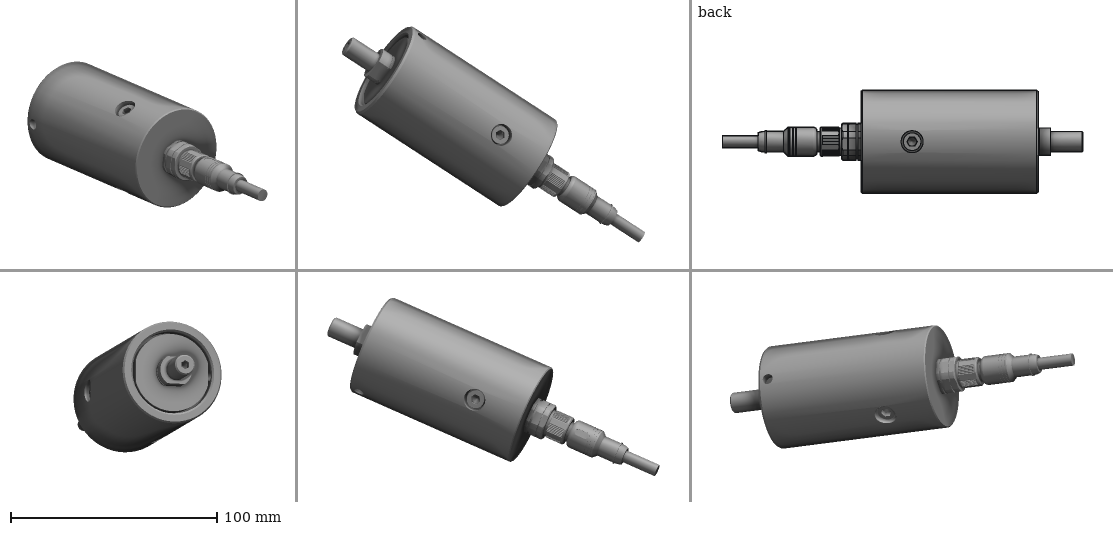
import cadquery as cq
import math


overall_length = 175.0
hexagon_sides = 6

housing_dia = 50.0
housing_length = 85.9
front_chamfer_length = 1.0
front_chamfer_height = 0.7
rear_chamfer = 0.5
bore_dia = 40.2
bore_depth = 7.0
bore_chamfer = 0.9

locating_dia = 5.0
locating_x = 5.0
locating_depth = 5.2

screw_count = 3
screw_x = 61.2
counterbore_dia = 10.7
counterbore_depth = 6.8
shank_dia = 5.0
shank_length = 8.7
head_dia = 8.5
head_recess = 2.1
screw_socket_flats = 4.4
screw_socket_depth = 2.8

disc_dia = 38.0
disc_flats = 36.2
disc_front_x = 1.2
collar_dia = 16.0
collar_flats = 13.3
collar_length = 6.0
undercut_dia = 15.4
undercut_width = 0.5
stud_dia = 10.0
stud_length = 15.7
stud_chamfer = 0.7
stud_socket_flats = 3.8
stud_socket_depth = 3.5

receptacle_turn = 22.5
plug_turn = 7.5

hex_flats = 17.0
hex_round_dia = 18.0
hex_end_x = 95.3
hex_chamfer = 0.5
gap_dia = 17.0
gap_start_x = 87.5
gap_end_x = 88.5
line_groove_dia = 16.6
line_groove_start_x = 92.0
line_groove_end_x = 92.5
receptacle_neck_dia = 13.5

ring_start_x = 96.4
ring_end_x = 105.8
ring_dia = 14.2
ring_flats = 13.8
ring_chamfer = 0.5
flute_dia = 0.7
flutes_per_side = 6
flute_pitch_angle = 6.0
flute_end_x = 104.6

plug_neck_dia = 10.0
plug_start_x = 107.4
plug_nose_dia = 12.0
plug_body_x = 109.2
plug_dia = 14.2
plug_end_x = 121.4
round_bulge = 0.5
rib_groove_dia = 13.8
rib_groove_width = 0.5
rib_groove_count = 3
rib_groove_start_x = 117.2
rib_groove_pitch = 1.5
boot_start_x = 123.5
boot_dia = 10.1
boot_rim_dia = 11.0
boot_rim_x = 131.9
boot_rim_width = 0.5
boot_end_x = 136.0
boot_end_dia = 8.7
cable_dia = 6.0
cable_end_x = overall_length - collar_length - stud_length

mark_start_x = 109.9
mark_end_x = 116.7
mark_width = 3.3
mark_corner = 0.9
mark_floor_radius = 6.6


def cylinder(dia, start_x, end_x):
    """Cylinder on the X axis."""
    return cq.Workplane("YZ", origin=(start_x, 0, 0)).circle(dia / 2).extrude(end_x - start_x)


def groove_ring(outer_dia, inner_dia, start_x, end_x):
    """Ring that cuts a groove down to inner_dia."""
    return cylinder(outer_dia, start_x, end_x).cut(cylinder(inner_dia, start_x, end_x))


def two_flats(flats, along_z, start_x, end_x):
    """Slab on the X axis with two parallel faces, square to Z or to Y."""
    wide = housing_dia
    size_y, size_z = (wide, flats) if along_z else (flats, wide)
    return cq.Workplane("YZ", origin=(start_x, 0, 0)).rect(size_y, size_z).extrude(end_x - start_x)


def hexagon_prism(flats, start_x, end_x):
    """Hexagonal prism on the X axis with corners towards +Y and -Y."""
    corner_dia = flats / math.cos(math.pi / hexagon_sides)
    face = cq.Workplane("YZ", origin=(start_x, 0, 0)).polygon(hexagon_sides, corner_dia)
    return face.extrude(end_x - start_x)


def hexagon_socket(flats, depth):
    """Socket cutter pointing along +X from the origin, with a drilled 90 degree cone at its end."""
    drill_r = flats / 2
    outline = [(0, 0), (depth + drill_r, 0), (depth, drill_r), (0, drill_r)]
    drilled = cq.Workplane("XY").polyline(outline).close().revolve(360, (0, 0, 0), (1, 0, 0))
    return hexagon_prism(flats, 0, depth).union(drilled)


def on_housing(shape, angle):
    """Move a shape built along +X so that it enters the housing surface at an angle from +Y about X."""
    inward = shape.rotate((0, 0, 0), (0, 0, 1), -90).translate((screw_x, housing_dia / 2, 0))
    return turned(inward, angle)


def turned(shape, angle):
    """Turn a shape about the X axis."""
    return shape.rotate((0, 0, 0), (1, 0, 0), angle)


screw_angles = [i * 360 / screw_count for i in range(screw_count)]


def make_screw(angle):
    head = cylinder(head_dia, head_recess, counterbore_depth)
    shank = cylinder(shank_dia, counterbore_depth, counterbore_depth + shank_length)
    socket = hexagon_socket(screw_socket_flats, screw_socket_depth).translate((head_recess, 0, 0))
    return on_housing(head.union(shank).cut(socket), angle)


def screw_hole_cutter():
    """Counterbore, open beyond the housing surface, with a blind shank hole."""
    counterbore = cylinder(counterbore_dia, -head_recess, counterbore_depth)
    return counterbore.union(cylinder(shank_dia, counterbore_depth, counterbore_depth + shank_length))


def make_housing():
    body = cylinder(housing_dia, 0, housing_length)
    body = body.faces("<X").chamfer(front_chamfer_length, front_chamfer_height)
    body = body.faces(">X").chamfer(rear_chamfer)
    body = body.cut(cylinder(bore_dia, 0, bore_depth))
    bore_rim = cq.selectors.RadiusNthSelector(0)
    body = body.faces("<X").edges("%CIRCLE").edges(bore_rim).chamfer(bore_chamfer)
    screw_hole = screw_hole_cutter()
    for angle in screw_angles:
        body = body.cut(on_housing(screw_hole, angle))
    locating_hole = (
        cq.Workplane("XZ", origin=(locating_x, -housing_dia / 2 + locating_depth, 0))
        .circle(locating_dia / 2)
        .extrude(2 * locating_depth)
    )
    return body.cut(locating_hole)


def make_load_cell():
    tip_x = -collar_length - stud_length
    disc = cylinder(disc_dia, disc_front_x, bore_depth)
    disc = disc.intersect(two_flats(disc_flats, False, disc_front_x, bore_depth))
    collar = cylinder(collar_dia, -collar_length, disc_front_x)
    collar = collar.intersect(two_flats(collar_flats, True, -collar_length, disc_front_x))
    collar = collar.cut(groove_ring(housing_dia, undercut_dia, -undercut_width, 0))
    stud = cylinder(stud_dia, tip_x, -collar_length).faces("<X").chamfer(stud_chamfer)
    socket = hexagon_socket(stud_socket_flats, stud_socket_depth)
    socket = turned(socket, 90).translate((tip_x, 0, 0))
    return disc.union(collar).union(stud).cut(socket)


def make_receptacle():
    rounded = cylinder(hex_round_dia, housing_length, hex_end_x).faces(">X").chamfer(hex_chamfer)
    hexagon = hexagon_prism(hex_flats, housing_length, hex_end_x)
    body = rounded.intersect(hexagon)
    body = body.cut(groove_ring(housing_dia, gap_dia, gap_start_x, gap_end_x))
    body = body.cut(groove_ring(housing_dia, line_groove_dia, line_groove_start_x, line_groove_end_x))
    return turned(body.union(cylinder(receptacle_neck_dia, hex_end_x, ring_start_x)), receptacle_turn)


def make_ring():
    ring = cylinder(ring_dia, ring_start_x, ring_end_x).faces("<X or >X").chamfer(ring_chamfer)
    ring = ring.intersect(hexagon_prism(ring_flats, ring_start_x, ring_end_x))
    for side in range(hexagon_sides):
        for n in range(flutes_per_side):
            angle = side * 360 / hexagon_sides + (n - (flutes_per_side - 1) / 2) * flute_pitch_angle
            flute = cylinder(flute_dia, ring_start_x, flute_end_x).translate((0, ring_dia / 2, 0))
            ring = ring.cut(turned(flute, angle))
    return ring


def make_plug():
    r = plug_dia / 2
    boot_r = boot_dia / 2
    rim_r = boot_rim_dia / 2
    rim_end_x = boot_rim_x + boot_rim_width
    nose_mid = (plug_start_x + round_bulge, r - round_bulge)
    boot_mid = ((rim_end_x + boot_end_x) / 2 + round_bulge, boot_r - round_bulge / 2)
    profile = (
        cq.Workplane("XY")
        .moveTo(ring_end_x, 0)
        .lineTo(ring_end_x, plug_neck_dia / 2)
        .lineTo(plug_start_x, plug_neck_dia / 2)
        .lineTo(plug_start_x, plug_nose_dia / 2)
        .threePointArc(nose_mid, (plug_body_x, r))
        .lineTo(plug_end_x, r)
        .lineTo(boot_start_x, boot_r)
        .lineTo(boot_rim_x, boot_r)
        .lineTo(boot_rim_x, rim_r)
        .lineTo(rim_end_x, rim_r)
        .lineTo(rim_end_x, boot_r)
        .threePointArc(boot_mid, (boot_end_x, boot_end_dia / 2))
        .lineTo(boot_end_x, cable_dia / 2)
        .lineTo(cable_end_x, cable_dia / 2)
        .lineTo(cable_end_x, 0)
        .close()
    )
    plug = profile.revolve(360, (0, 0, 0), (1, 0, 0))
    for n in range(rib_groove_count):
        start_x = rib_groove_start_x + n * rib_groove_pitch
        plug = plug.cut(groove_ring(housing_dia, rib_groove_dia, start_x, start_x + rib_groove_width))
    mark = (
        cq.Workplane("XY", origin=((mark_start_x + mark_end_x) / 2, 0, mark_floor_radius))
        .rect(mark_end_x - mark_start_x, mark_width)
        .extrude(plug_dia)
        .edges("|Z")
        .chamfer(mark_corner)
    )
    return plug.cut(mark)


def make_cable_connector():
    return turned(make_ring().union(make_plug()), plug_turn)


housing = make_housing()
load_cell = make_load_cell()
screws = [make_screw(angle) for angle in screw_angles]
receptacle = make_receptacle()
cable_connector = make_cable_connector()

result = cq.Compound.makeCompound(
    [
        housing.val(),
        load_cell.val(),
        *[screw.val() for screw in screws],
        receptacle.val(),
        cable_connector.val(),
    ]
)